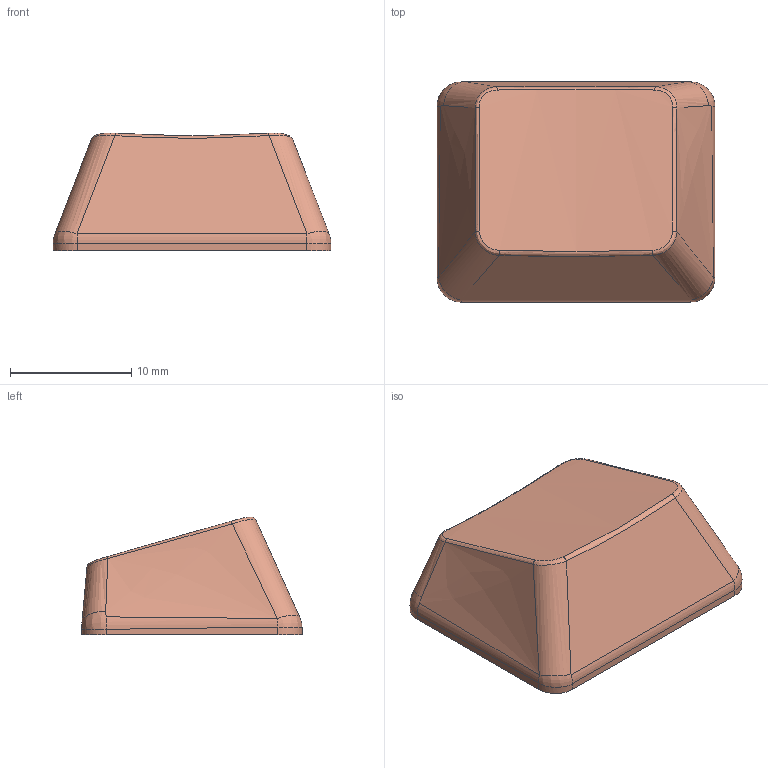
import cadquery as cq
import math

base_width = 22.92
base_depth = 18.16
skirt_height = 1.02

rim_width = 16.45
rim_front_y = -5.05
rim_back_y = 8.62
rim_center_height = 8.49
rim_slope = 0.287

dish_radius = 85.0

wall_radius = 2.0
rim_radius = 0.35

trim_allowance = 0.6


def base_corners(z):
    """Corners of the base rectangle at height z."""
    x = base_width / 2
    y = base_depth / 2
    return [cq.Vector(*p) for p in ((-x, -y, z), (x, -y, z), (x, y, z), (-x, y, z))]


def rim_corners():
    """Corners of the sharp rim, in the same order as the base corners."""
    x = rim_width / 2
    front_z = rim_center_height - rim_slope * rim_front_y
    back_z = rim_center_height - rim_slope * rim_back_y
    return [
        cq.Vector(-x, rim_front_y, front_z),
        cq.Vector(x, rim_front_y, front_z),
        cq.Vector(x, rim_back_y, back_z),
        cq.Vector(-x, rim_back_y, back_z),
    ]


def extended_past_rim(shoulder, rim):
    """The rim corner carried on upwards along its corner edge by the trim allowance."""
    edge = rim - shoulder
    return rim + edge * (trim_allowance / edge.z)


def make_walls():
    """Upright skirt below straight-ruled walls that lean in to the rim."""
    foot = base_corners(0)
    shoulder = base_corners(skirt_height)
    top = [extended_past_rim(s, r) for s, r in zip(shoulder, rim_corners())]
    sections = [cq.Wire.makePolygon(corners, close=True) for corners in (foot, shoulder, top)]
    return cq.Workplane(cq.Solid.makeLoft(sections, True))


def round_walls(walls):
    """Round the upright corners and the shoulder, leaving the foot and the top edges sharp."""
    sharp_edges = walls.faces("<Z or >Z").edges().vals()
    rounded_edges = [
        edge for edge in walls.edges().vals() if not any(edge.isSame(sharp) for sharp in sharp_edges)
    ]
    return walls.newObject(rounded_edges).fillet(wall_radius)


def make_dish():
    """Cylinder whose surface passes through the left and right sides of the rim."""
    length = 4 * base_depth
    slope_angle = math.atan(rim_slope)
    axis_rise = math.sqrt(dish_radius**2 - (rim_width / 2) ** 2)
    down_slope = cq.Vector(0, math.cos(slope_angle), -math.sin(slope_angle))
    upward = cq.Vector(0, math.sin(slope_angle), math.cos(slope_angle))
    start = cq.Vector(0, 0, rim_center_height) + upward * axis_rise - down_slope * (length / 2)
    return cq.Workplane(cq.Solid.makeCylinder(dish_radius, length, start, down_slope))


rounded_walls = round_walls(make_walls())
dished_top = rounded_walls.cut(make_dish())
result = dished_top.faces(">Z").edges().fillet(rim_radius)